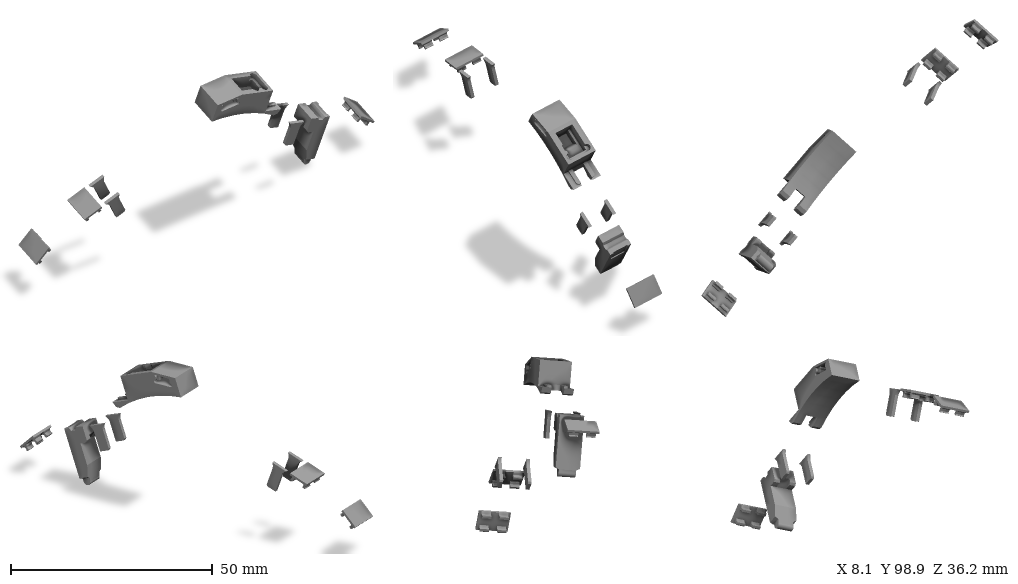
import cadquery as cq
import math


BODY_WIDTH = 8.1
SEGMENT_TILT = 20.0
OVERCUT = 1.0

RING_RADIUS = 31.1
RING_CENTRE_Z = -17.75

TOP_Z = 18.105
SLOPE_START = (19.85, 14.8)
SLOPE_LENGTH = 9.7
FRONT_TOP_Y = 3.7
FRONT_LENGTH = 5.05
TAIL_FACE_LENGTH = 5.9
ARM_LENGTH = 4.25
ARM_STEP = 0.55
ARM_TIP = (22.2, 7.2)
ARM_FOOT = (21.05, 6.1)
ARM_GAP = 3.25
ARC_START_Y = 19.95
RIDGE_OUTER_X = 2.7
RIDGE_ROOT = 0.2
RIDGE_CORNER_RADIUS = 0.75

CAVITY_NEAR = 1.6
CAVITY_FAR = 8.65
CAVITY_WIDTH = 5.0
LEDGE_DEPTH = 3.4
LEDGE_END = 4.5
LEDGE_EDGE_ROUND = 0.65
PIT_DEPTH = 5.75
PIT_START = 5.6
PIT_WIDTH = 3.9
SEAT_NEAR = 0.8
SEAT_FAR = 2.6
SEAT_LENGTH = 6.9
SEAT_DEPTH = 1.4
NOTCH_DEPTH = 1.0
NOTCH_DISTANCE = 4.3
NOTCH_X = CAVITY_WIDTH / 2
NOTCH_SIZE = 1.05

CLIP_LENGTH = 5.3
PLATE_THICKNESS = 0.6
LEG_OUTER_Y = 2.1
LEG_INNER_Y = 1.5
LEG_ROOT_Y = 1.2
LEG_ROOT_Z = -0.95
LEG_BOTTOM_Z = -2.1
BARB_Y = 2.35
BARB_Z = -1.95
NECK_TOP_Z = -1.0
NECK_BOTTOM_Z = -1.7
LEG_INNER_X = 1.05
LEG_OUTER_X = 3.4
UNDERCUT_TOP_Z = -2.1
UNDERCUT_SIDE_Z = -2.45
UNDERCUT_FLOOR_Z = -2.76
UNDERCUT_FLOOR_Y = 2.4
HOUSING_CLIP_Y = 7.3
LOOSE_CLIPS = [
    (47.575, -9.5, -45.0),
    (-32.7, -0.4, SEGMENT_TILT),
    (-47.575, -7.65, 45.0),
]

LATCH_CORNER = (37.0, -3.95)
LATCH_WIDTH = 6.2
STEM_DEPTH = 3.55
BLOCK_DEPTH = 5.75
BLOCK_HEIGHT = 4.3
BLOCK_CHAMFER = 0.5
GROOVE_NEAR = 1.45
GROOVE_FAR = 3.6
GROOVE_DEPTH = 0.8
GROOVE_SLANT = 0.5
STEM_BEND_Z = -10.1
STEM_FRONT_SLOPE = 0.31
SHOULDER_Z = -13.6
SHOULDER_CHAMFER_X = 0.9
SHOULDER_CHAMFER_Z = 0.45
TONGUE_Z = -15.45
TONGUE_WIDTH = 4.4
TONGUE_BACK = 0.25
TONGUE_ROUND_FRONT = 0.8
TONGUE_ROUND_BACK = 1.0
LIP_NOTCH_WIDTH = 2.9
LIP_NOTCH_HEIGHT = 1.5
BACK_RECESS_WIDTH = 4.2
BACK_RECESS_DEPTH = 0.25

PEG_THICKNESS = 0.9
PEG_HEIGHT = 6.9
PEG_HEAD_WIDTH = 4.35
PEG_INNER = 0.65
PEG_OUTER = 3.5
PEG_FLARE_HEIGHT = 1.5
PEG_FLARE_SAG = 0.3
PEG_CHAMFER = 0.4
PEG_CORNERS = [(24.85, 0.6), (-24.9, 2.15)]

COS = math.cos(math.radians(SEGMENT_TILT))
SIN = math.sin(math.radians(SEGMENT_TILT))


def extrude_across(profile, width):
    """Extrude a closed YZ outline symmetrically about X = 0."""
    return profile.extrude(width / 2, both=True)


def box(x_range, y_range, z_range):
    sizes = [high - low for low, high in (x_range, y_range, z_range)]
    corner = (x_range[0], y_range[0], z_range[0])
    return cq.Workplane("XY").box(*sizes, centered=False).translate(corner)


def place(body, y, z, turn):
    return body.rotate((0, 0, 0), (1, 0, 0), turn).translate((0, y, z))


def on_slope(along, below):
    """World (Y, Z) of a point given along and below the housing slope."""
    y = SLOPE_START[0] - along * COS - below * SIN
    z = SLOPE_START[1] + along * SIN - below * COS
    return (y, z)


def arc_z(y):
    return RING_CENTRE_Z + math.sqrt(RING_RADIUS ** 2 - y ** 2)


def leg_profile():
    """Half of the clip section below its plate, on the +Y side."""
    return [
        (LEG_ROOT_Y, -PLATE_THICKNESS),
        (CLIP_LENGTH / 2, -PLATE_THICKNESS),
        (LEG_OUTER_Y, NECK_TOP_Z),
        (LEG_OUTER_Y, NECK_BOTTOM_Z),
        (BARB_Y, BARB_Z),
        (LEG_OUTER_Y, LEG_BOTTOM_Z),
        (LEG_INNER_Y, LEG_BOTTOM_Z),
        (LEG_INNER_Y, LEG_ROOT_Z - (LEG_INNER_Y - LEG_ROOT_Y)),
        (LEG_ROOT_Y, LEG_ROOT_Z),
    ]


def build_clip():
    clip = box(
        (-BODY_WIDTH / 2, BODY_WIDTH / 2),
        (-CLIP_LENGTH / 2, CLIP_LENGTH / 2),
        (-PLATE_THICKNESS, 0),
    )
    leg_width = LEG_OUTER_X - LEG_INNER_X
    leg = cq.Workplane("YZ").polyline(leg_profile()).close().extrude(leg_width)
    leg = leg.translate((LEG_INNER_X, 0, 0))
    leg_pair = leg.union(leg.mirror("YZ"))
    return clip.union(leg_pair).union(leg_pair.mirror("XZ"))


def build_clip_slot():
    """Through slot in the housing that takes one clip, in the clip's own coordinates."""
    side = [
        (CLIP_LENGTH / 2, 0),
        (CLIP_LENGTH / 2, -PLATE_THICKNESS),
        (LEG_OUTER_Y, NECK_TOP_Z),
        (LEG_OUTER_Y, NECK_BOTTOM_Z),
        (CLIP_LENGTH / 2, UNDERCUT_TOP_Z),
        (CLIP_LENGTH / 2, UNDERCUT_SIDE_Z),
        (UNDERCUT_FLOOR_Y, UNDERCUT_FLOOR_Z),
    ]
    mirrored_side = [(-y, z) for y, z in reversed(side)]
    profile = cq.Workplane("YZ").polyline(side + mirrored_side).close()
    return extrude_across(profile, BODY_WIDTH + 2 * OVERCUT)


def build_arm_gap():
    """Space between the two arms, behind the tail face and reaching below the arm feet."""
    foot_y, foot_z = on_slope(0, TAIL_FACE_LENGTH)
    outline = [
        SLOPE_START,
        (foot_y, foot_z),
        (foot_y, ARM_FOOT[1] - OVERCUT),
        (ARM_TIP[0] + OVERCUT, ARM_FOOT[1] - OVERCUT),
        (ARM_TIP[0] + OVERCUT, SLOPE_START[1]),
    ]
    profile = cq.Workplane("YZ").polyline(outline).close()
    return extrude_across(profile, ARM_GAP)


def build_arm_ridges():
    """Low ridge along the inner side of each arm, with a rounded outer end corner."""
    ridges = box(
        (-RIDGE_OUTER_X, RIDGE_OUTER_X),
        (-RIDGE_ROOT, ARM_LENGTH),
        (-ARM_STEP - RIDGE_ROOT, 0),
    )
    ridges = ridges.edges("|Z and >Y").fillet(RIDGE_CORNER_RADIUS)
    return place(ridges, *on_slope(0, TAIL_FACE_LENGTH), -SEGMENT_TILT)


def build_cavity():
    """Stepped cavity in the slope, built flat and then laid onto the slope."""
    half = CAVITY_WIDTH / 2
    cavity = box((-half, half), (-CAVITY_FAR, -CAVITY_NEAR), (-LEDGE_DEPTH, OVERCUT))
    ramp_run = PIT_START - LEDGE_END
    ramp_drop = PIT_DEPTH - LEDGE_DEPTH
    ramp_part = LEDGE_EDGE_ROUND / math.hypot(ramp_run, ramp_drop)
    round_start = (-LEDGE_END + LEDGE_EDGE_ROUND, -LEDGE_DEPTH)
    round_end = (-LEDGE_END - ramp_run * ramp_part, -LEDGE_DEPTH - ramp_drop * ramp_part)
    pit = extrude_across(
        cq.Workplane("YZ")
        .moveTo(-CAVITY_FAR, -PIT_DEPTH)
        .lineTo(-PIT_START, -PIT_DEPTH)
        .lineTo(*round_end)
        .tangentArcPoint(round_start, relative=False)
        .lineTo(-CAVITY_FAR, -LEDGE_DEPTH)
        .close(),
        PIT_WIDTH,
    )
    seat = (
        cq.Workplane("XY", origin=(0, -(SEAT_NEAR + SEAT_FAR) / 2, -SEAT_DEPTH))
        .slot2D(SEAT_LENGTH, SEAT_FAR - SEAT_NEAR)
        .extrude(SEAT_DEPTH + OVERCUT)
    )
    notch = (
        cq.Workplane("XY", origin=(NOTCH_X, -NOTCH_DISTANCE, -NOTCH_DEPTH))
        .polyline([(0, NOTCH_SIZE), (NOTCH_SIZE, 0), (0, -NOTCH_SIZE), (-NOTCH_SIZE, 0)])
        .close()
        .extrude(NOTCH_DEPTH + OVERCUT)
    )
    cavity = cavity.union(pit).union(seat).union(notch)
    return place(cavity, *SLOPE_START, -SEGMENT_TILT)


def build_housing():
    slope_end = on_slope(SLOPE_LENGTH, 0)
    front_foot = (FRONT_TOP_Y - FRONT_LENGTH * SIN, TOP_Z - FRONT_LENGTH * COS)
    arc_middle_y = (front_foot[0] + ARC_START_Y) / 2
    arm_depth = TAIL_FACE_LENGTH + ARM_STEP
    housing = extrude_across(
        cq.Workplane("YZ")
        .moveTo(*SLOPE_START)
        .lineTo(slope_end[0], TOP_Z)
        .lineTo(FRONT_TOP_Y, TOP_Z)
        .lineTo(front_foot[0], arc_z(front_foot[0]))
        .threePointArc((arc_middle_y, arc_z(arc_middle_y)), (ARC_START_Y, arc_z(ARC_START_Y)))
        .lineTo(*ARM_FOOT)
        .lineTo(*ARM_TIP)
        .lineTo(*on_slope(-ARM_LENGTH, arm_depth))
        .lineTo(*on_slope(0, arm_depth))
        .close(),
        BODY_WIDTH,
    )
    housing = housing.union(build_arm_ridges()).cut(build_arm_gap())
    housing = housing.cut(build_cavity())
    return housing.cut(build_clip_slot().translate((0, HOUSING_CLIP_Y, TOP_Z)))


def build_latch():
    def front_y(z):
        """Front of the stem below its bend."""
        return -STEM_DEPTH + (STEM_BEND_Z - z) * STEM_FRONT_SLOPE

    stem = extrude_across(
        cq.Workplane("YZ").polyline([
            (0, 0),
            (-GROOVE_NEAR, 0),
            (-GROOVE_NEAR - GROOVE_SLANT, -GROOVE_DEPTH),
            (-GROOVE_FAR + GROOVE_SLANT, -GROOVE_DEPTH),
            (-GROOVE_FAR, 0),
            (-BLOCK_DEPTH, 0),
            (-BLOCK_DEPTH, -BLOCK_HEIGHT + BLOCK_CHAMFER),
            (-BLOCK_DEPTH + BLOCK_CHAMFER, -BLOCK_HEIGHT),
            (-STEM_DEPTH, -BLOCK_HEIGHT),
            (-STEM_DEPTH, STEM_BEND_Z),
            (front_y(SHOULDER_Z), SHOULDER_Z),
            (0, SHOULDER_Z),
        ]).close(),
        LATCH_WIDTH,
    )
    half = LATCH_WIDTH / 2
    corner = cq.Workplane("XZ").polyline([
        (half, SHOULDER_Z),
        (half - SHOULDER_CHAMFER_X, SHOULDER_Z),
        (half, SHOULDER_Z + SHOULDER_CHAMFER_Z),
    ]).close().extrude(STEM_DEPTH)
    stem = stem.cut(corner).cut(corner.mirror("YZ"))

    tongue_front_z = TONGUE_Z + TONGUE_ROUND_FRONT
    tongue_front = front_y(tongue_front_z)
    round_middle = 1 - math.sqrt(0.5)
    tongue = extrude_across(
        cq.Workplane("YZ")
        .moveTo(-TONGUE_BACK, SHOULDER_Z)
        .lineTo(front_y(SHOULDER_Z), SHOULDER_Z)
        .lineTo(tongue_front, tongue_front_z)
        .threePointArc(
            (tongue_front + TONGUE_ROUND_FRONT * round_middle, TONGUE_Z + TONGUE_ROUND_FRONT * round_middle),
            (tongue_front + TONGUE_ROUND_FRONT, TONGUE_Z),
        )
        .lineTo(-TONGUE_BACK - TONGUE_ROUND_BACK, TONGUE_Z)
        .threePointArc(
            (-TONGUE_BACK - TONGUE_ROUND_BACK * round_middle, TONGUE_Z + TONGUE_ROUND_BACK * round_middle),
            (-TONGUE_BACK, TONGUE_Z + TONGUE_ROUND_BACK),
        )
        .close(),
        TONGUE_WIDTH,
    )

    lip_notch = extrude_across(
        cq.Workplane("YZ").polyline([
            (-BLOCK_DEPTH, -BLOCK_HEIGHT),
            (-BLOCK_DEPTH, -BLOCK_HEIGHT + LIP_NOTCH_HEIGHT),
            (-STEM_DEPTH, -BLOCK_HEIGHT),
        ]).close(),
        LIP_NOTCH_WIDTH,
    )
    back_recess = box(
        (-BACK_RECESS_WIDTH / 2, BACK_RECESS_WIDTH / 2),
        (-BACK_RECESS_DEPTH, OVERCUT),
        (-BLOCK_HEIGHT, OVERCUT),
    )
    latch = stem.union(tongue).cut(lip_notch).cut(back_recess)
    return place(latch, *LATCH_CORNER, -SEGMENT_TILT)


def build_peg():
    """One peg upright, its head running from Y = 0 towards +Y and its flat face on X = 0."""
    flare_middle_z = -PEG_FLARE_HEIGHT / 2
    inner_middle = PEG_INNER / 2 + PEG_FLARE_SAG / 2
    outer_middle = (PEG_HEAD_WIDTH + PEG_OUTER) / 2 - PEG_FLARE_SAG / 2
    return (
        cq.Workplane("YZ")
        .moveTo(0, 0)
        .threePointArc((inner_middle, flare_middle_z), (PEG_INNER, -PEG_FLARE_HEIGHT))
        .lineTo(PEG_INNER, -PEG_HEIGHT + PEG_CHAMFER)
        .lineTo(PEG_INNER + PEG_CHAMFER, -PEG_HEIGHT)
        .lineTo(PEG_OUTER, -PEG_HEIGHT)
        .lineTo(PEG_OUTER, -PEG_FLARE_HEIGHT)
        .threePointArc((outer_middle, flare_middle_z), (PEG_HEAD_WIDTH, 0))
        .close()
        .extrude(PEG_THICKNESS)
    )


def build_pegs():
    pegs = []
    outer_x = BODY_WIDTH / 2
    for corner_y, corner_z in PEG_CORNERS:
        peg = build_peg()
        tilt = -SEGMENT_TILT
        if corner_y < 0:
            peg = peg.mirror("XZ")
            tilt = SEGMENT_TILT
        for start_x in (-outer_x, outer_x - PEG_THICKNESS):
            pegs.append(place(peg, corner_y, corner_z, tilt).translate((start_x, 0, 0)))
    return pegs


housing = build_housing()
latch = build_latch()
pegs = build_pegs()
clips = [build_clip().translate((0, HOUSING_CLIP_Y, TOP_Z))]
for clip_y, clip_z, clip_turn in LOOSE_CLIPS:
    clips.append(place(build_clip(), clip_y, clip_z, clip_turn))

result = cq.Compound.makeCompound([body.val() for body in [housing, latch, *pegs, *clips]])